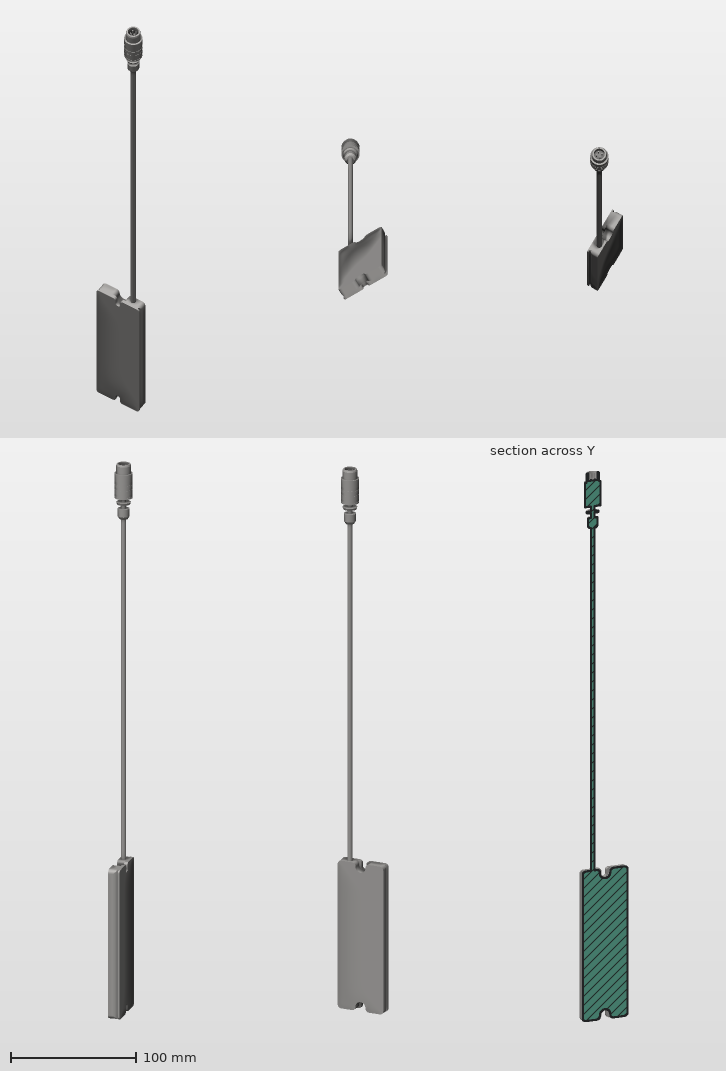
import cadquery as cq

total_height = 456.8

housing_width = 40.0
housing_height = 125.0
housing_front = -6.0
housing_back = 3.5
plate_thickness = 2.95
plate_corner_radius = 2.5
plate_notch_diameter = 4.5
plate_notch_depth = 7.5

body_corner_radius = 3.0
body_notch_diameter = 8.5
body_notch_depth = 7.8

groove_front = -4.5
groove_depth = 2.5
groove_wall_back = -2.5
step_depth = 0.5
groove_back = -1.0

axis_x = 11.0
cable_diameter = 4.2

grip_diameter = 14.5
neck_diameter = 12.0
grip_groove_diameter = 14.0
rim_diameter = 11.0
small_ring_diameter = 12.0
small_ring_lower_diameter = 10.5
sleeve_diameter = 9.5
sleeve_end_diameter = 7.0

rim_chamfer_height = 1.5
grip_top = 7.8
grip_rings = [(grip_top, 14.0), (17.0, 18.5), (21.0, 24.5), (27.0, 28.5)]
small_ring_top = 32.0
small_ring_bottom = 34.0
sleeve_top = 37.5
sleeve_chamfer_top = 44.0
plug_length = 46.0

socket_diameter = 8.5
socket_depth = 6.5
pin_diameter = 1.0
pin_circle_diameter = 4.5
pin_count = 4
first_pin_angle = 45
pin_recess = 1.0


def notch(diameter, depth, mouth_radius, front, back):
    """Round-bottomed notch in the top edge, its mouth flared by tangent arcs."""
    half = diameter / 2
    floor = housing_height - depth
    arc_level = floor + half
    mouth_level = housing_height - mouth_radius
    mouth_half = half + mouth_radius
    return (
        cq.Workplane("XZ", origin=(0, front, 0))
        .moveTo(-half, arc_level)
        .threePointArc((0, floor), (half, arc_level))
        .lineTo(half, mouth_level)
        .tangentArcPoint((mouth_half, housing_height), relative=False)
        .lineTo(-mouth_half, housing_height)
        .radiusArc((-half, mouth_level), mouth_radius)
        .close()
        .extrude(front - back)
    )


def notched_slab(front, back, corner_radius, notch_diameter, notch_depth):
    """Housing layer between two Y positions, rounded and notched alike at top and bottom."""
    slab = (
        cq.Workplane("XY", origin=(0, front, 0))
        .box(housing_width, back - front, housing_height, centered=(True, False, False))
        .edges("|Y")
        .fillet(corner_radius)
    )
    top_notch = notch(notch_diameter, notch_depth, corner_radius, front, back)
    bottom_notch = top_notch.mirror("XY", (0, 0, housing_height / 2))
    return slab.cut(top_notch).cut(bottom_notch)


def side_groove():
    side = -housing_width / 2
    return (
        cq.Workplane("XY")
        .moveTo(side, groove_front)
        .lineTo(side + groove_depth, groove_front)
        .lineTo(side + step_depth, groove_wall_back)
        .lineTo(side, groove_back)
        .close()
        .extrude(housing_height)
    )


def housing():
    plate_back = housing_front + plate_thickness
    plate = notched_slab(
        housing_front, plate_back, plate_corner_radius, plate_notch_diameter, plate_notch_depth
    )
    body = notched_slab(
        plate_back, housing_back, body_corner_radius, body_notch_diameter, body_notch_depth
    )
    groove = side_groove()
    return plate.union(body).cut(groove).cut(groove.mirror("YZ"))


def cylinder(diameter, bottom, top):
    return cq.Workplane("XY", origin=(axis_x, 0, bottom)).circle(diameter / 2).extrude(top - bottom)


def cone(lower_diameter, upper_diameter, bottom, top):
    return (
        cq.Workplane("XY", origin=(axis_x, 0, bottom))
        .circle(lower_diameter / 2)
        .workplane(offset=top - bottom)
        .circle(upper_diameter / 2)
        .loft()
    )


def below_tip(distance):
    return total_height - distance


def plug():
    neck_bottom = below_tip(grip_rings[-1][1])
    shape = cylinder(neck_diameter, neck_bottom, below_tip(rim_chamfer_height))
    shape = shape.union(cone(neck_diameter, rim_diameter, below_tip(rim_chamfer_height), total_height))
    shape = shape.union(cylinder(grip_groove_diameter, neck_bottom, below_tip(grip_top)))
    for ring_top, ring_bottom in grip_rings:
        shape = shape.union(cylinder(grip_diameter, below_tip(ring_bottom), below_tip(ring_top)))
    shape = shape.union(
        cone(small_ring_lower_diameter, small_ring_diameter,
             below_tip(small_ring_bottom), below_tip(small_ring_top))
    )
    shape = shape.union(cylinder(sleeve_diameter, below_tip(sleeve_chamfer_top), below_tip(sleeve_top)))
    shape = shape.union(
        cone(sleeve_end_diameter, sleeve_diameter, below_tip(plug_length), below_tip(sleeve_chamfer_top))
    )
    shape = shape.union(cylinder(cable_diameter, housing_height, neck_bottom))
    shape = shape.cut(cylinder(socket_diameter, below_tip(socket_depth), total_height))
    pins = (
        cq.Workplane("XY", origin=(axis_x, 0, below_tip(socket_depth)))
        .polarArray(pin_circle_diameter / 2, first_pin_angle, 360, pin_count)
        .circle(pin_diameter / 2)
        .extrude(socket_depth - pin_recess)
    )
    return shape.union(pins)


result = housing().union(plug())